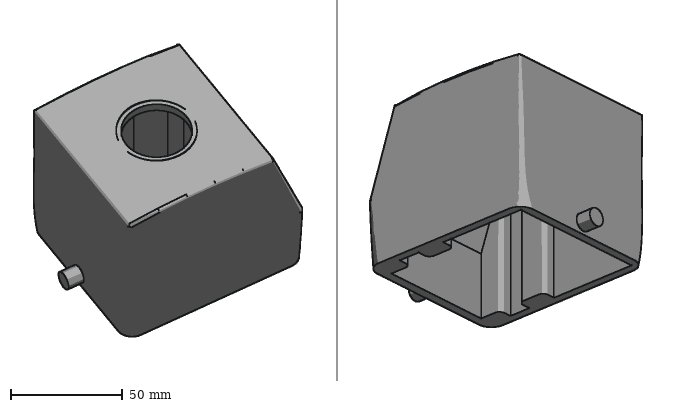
import cadquery as cq
import math

width = 82.5
height = 79.0
pin_span = 110.0

foot_y = 47.1
front_top_y = -45.9
knee_y = 46.6
knee_z = 33.4
ridge_y = 30.6
knee_radius = 8.4
crown_radius = 330.0
crown_y = -6.0
top_edge_radius = 1.4

foot_radius = 7.5
back_knee_radius = 2.9
back_mid_z = 13.2
back_mid_radius = 5.3
front_corner_radii = ((13.2, 3.5), (33.0, 2.5), (55.0, 2.1))

entry_diameter = 31.9
seat_diameter = 36.3
seat_depth = 0.47

pin_diameter = 8.8
pin_z = 6.2

wall = 4.4
roof_z = 74.4
column_depth = 7.0
post_front_y = 30.8
column_round = 3.0
rib_back_y = 19.4
rib_front_y = 4.4

half_width = width / 2
inner_half_width = half_width - wall
margin = 1.1


def crown_z(y):
    """Height of the arched top at a given Y."""
    return height - crown_radius + math.sqrt(crown_radius**2 - (y - crown_y) ** 2)


def along(start, end, z):
    """Y at height z on the straight line through two (Y, Z) points."""
    fraction = (z - start[1]) / (end[1] - start[1])
    return start[0] + fraction * (end[0] - start[0])


front_foot = (-foot_y, 0)
front_top = (front_top_y, crown_z(front_top_y))
back_foot = (foot_y, 0)
knee = (knee_y, knee_z)
ridge = (ridge_y, crown_z(ridge_y))


def hood():
    profile = (
        cq.Workplane("YZ")
        .moveTo(*front_foot)
        .lineTo(*back_foot)
        .lineTo(*knee)
        .lineTo(*ridge)
        .threePointArc((crown_y, height), front_top)
        .close()
    )
    body = profile.extrude(half_width, both=True)
    knee_point = (0, knee_y, knee_z)
    knee_edge = cq.selectors.NearestToPointSelector(knee_point)
    body = body.edges(knee_edge).fillet(knee_radius)
    return body.faces(">Z").edges().fillet(top_edge_radius)


def corner_section(y, z, radius, outward):
    """Waste outside one rounded corner at height z; outward is the Y sign."""
    inner_x = half_width - radius
    inner_y = y - outward * radius
    outer_x = half_width + margin
    outer_y = y + outward * margin
    diagonal = radius * math.sqrt(0.5)
    return (
        cq.Workplane("XY", origin=(0, 0, z))
        .moveTo(half_width, inner_y)
        .threePointArc((inner_x + diagonal, inner_y + outward * diagonal), (inner_x, y))
        .lineTo(inner_x, outer_y)
        .lineTo(outer_x, outer_y)
        .lineTo(outer_x, inner_y)
        .close()
        .val()
    )


def corner_waste(sections):
    solid = cq.Solid.makeLoft([corner_section(*s) for s in sections])
    return cq.Workplane(solid)


def round_corners(body):
    front_sections = [(-foot_y, 0, foot_radius, -1)]
    for z, radius in front_corner_radii:
        front_sections.append((along(front_foot, front_top, z), z, radius, -1))
    front_sections.append((along(front_foot, front_top, height), height, top_edge_radius, -1))

    knee_section = (knee_y, knee_z, back_knee_radius, 1)
    back_sections = [
        (foot_y, 0, foot_radius, 1),
        (along(back_foot, knee, back_mid_z), back_mid_z, back_mid_radius, 1),
        knee_section,
    ]
    slope_sections = [knee_section, (along(knee, ridge, height), height, top_edge_radius, 1)]

    for sections in (front_sections, back_sections, slope_sections):
        waste = corner_waste(sections)
        body = body.cut(waste).cut(waste.mirror("YZ"))
    return body


def column(back_y, front_y):
    """Round-cornered column standing against the +X cavity wall."""
    return (
        cq.Workplane("XY")
        .box(column_depth + margin, back_y - front_y, height, centered=False)
        .translate((inner_half_width - column_depth, front_y, 0))
        .edges("|Z and <X")
        .fillet(column_round)
    )


def cavity():
    slope = math.atan2(knee[0] - ridge[0], ridge[1] - knee[1])
    slope_inset = wall / math.cos(slope)
    inner_front_y = wall - foot_y
    inner_back_y = knee_y - wall
    inner_knee_z = knee_z - (slope_inset - wall) / math.tan(slope)
    profile = (
        cq.Workplane("YZ")
        .moveTo(inner_front_y, 0)
        .lineTo(inner_back_y, 0)
        .lineTo(inner_back_y, inner_knee_z)
        .lineTo(along(knee, ridge, roof_z) - slope_inset, roof_z)
        .lineTo(inner_front_y, roof_z)
        .close()
    )
    space = profile.extrude(inner_half_width, both=True)
    for back_y, front_y in ((foot_y, post_front_y), (rib_back_y, rib_front_y)):
        right_column = column(back_y, front_y)
        space = space.cut(right_column).cut(right_column.mirror("YZ"))
    return space


def cable_entry():
    bore = (
        cq.Workplane("XY", origin=(0, crown_y, roof_z - margin))
        .circle(entry_diameter / 2)
        .extrude(height - roof_z + margin)
    )
    seat = (
        cq.Workplane("XY", origin=(0, crown_y, height - seat_depth))
        .circle(seat_diameter / 2)
        .extrude(seat_depth + margin)
    )
    return bore.union(seat)


def locking_pin(outward):
    length = pin_span / 2 - (foot_y - wall / 2)
    return (
        cq.Workplane("XZ", origin=(0, outward * pin_span / 2, pin_z))
        .circle(pin_diameter / 2)
        .extrude(outward * length)
    )


result = round_corners(hood()).cut(cavity()).cut(cable_entry())
for side in (-1, 1):
    result = result.union(locking_pin(side))